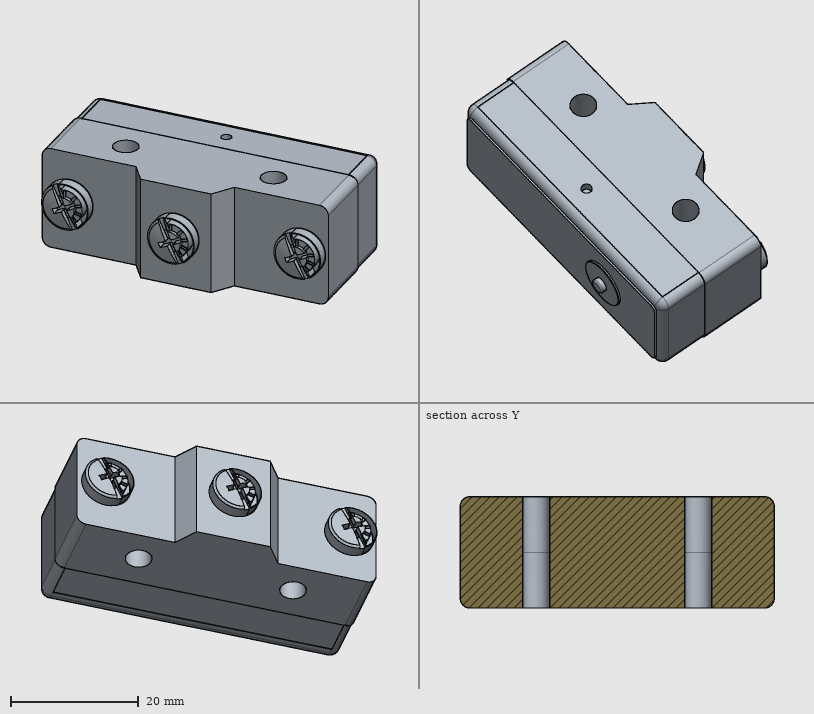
import cadquery as cq
import math


base_length = 49.2
base_height = 17.45
base_depth = 11.25
step = 0.15
cover_length = base_length - 2 * step
cover_height = base_height - 2 * step
cover_depth = 8.75
corner_radius = 1.53

panel_length = cover_length - 2 * corner_radius
panel_thickness = 0.1
top_panel_depth = cover_depth - corner_radius
bottom_panel_depth = 6.25

plate_length = 46.55
plate_height = 14.45
plate_thickness = 0.35
plate_corner_radius = 1.0
plate_back = cover_depth + plate_thickness

boss_root_length = 16.92
boss_tip_length = 12.1
boss_height = 3.55
boss_front = -(base_depth + boss_height)

mount_hole_diameter = 4.2
mount_hole_spacing = 25.4
mount_hole_y = -5.75
pip_diameter = 1.7
pip_depth = 1.5
pip_x = 0.3
pip_y = 3.7

head_diameter = 8.0
rim_height = 1.9
rim_chamfer = 0.4
rim_chamfer_height = 0.3
head_height = 2.65
head_wall = 0.1
slot_width = 1.0
slot_floor = 1.7
slot_angle = 65.0
recess_diameter = 3.8
recess_width = 0.85
recess_depth = 1.5
crown_diameter = 6.0
crown_height = rim_height
rib_reach = 2.95
rib_width = 0.45
rib_height = 0.15
rib_angles = [-50.0, -17.0, 16.0, 49.0, 90.0]
screw_seats = [(-19.85, -base_depth), (0.0, boss_front), (20.1, -base_depth)]

plunger_x = -10.65
collar_diameter = 8.0
collar_height = 0.4
collar_flare = 0.1
plunger_diameter = 2.4
plunger_travel = 1.05
plunger_rounding = 0.3


def block(length, height, y_start, depth, radius):
    """Bar along +Y with a rounded rectangular section."""
    bar = cq.Workplane("XY").box(length, depth, height).edges("|Y").fillet(radius)
    return bar.translate((0, y_start + depth / 2, 0))


def panels():
    """Panels raised on the top and bottom faces of the rear block, both starting at Y = 0."""
    top = cq.Workplane("XY").box(panel_length, top_panel_depth, panel_thickness)
    top = top.translate((0, top_panel_depth / 2, (cover_height + panel_thickness) / 2))
    bottom = cq.Workplane("XY").box(panel_length, bottom_panel_depth, panel_thickness)
    bottom = bottom.translate((0, bottom_panel_depth / 2, -(cover_height + panel_thickness) / 2))
    return top, bottom


def disc(diameter, start, height):
    """Cylinder about Z between two levels."""
    return cq.Workplane("XY").workplane(offset=start).circle(diameter / 2).extrude(height)


def terminal_boss():
    """Trapezoidal block that carries the middle screw."""
    outline = [
        (-boss_root_length / 2, -base_depth),
        (-boss_tip_length / 2, boss_front),
        (boss_tip_length / 2, boss_front),
        (boss_root_length / 2, -base_depth),
    ]
    boss = cq.Workplane("XY").polyline(outline).close().extrude(base_height)
    return boss.translate((0, 0, -base_height / 2))


def domed_head():
    """Screw head about Z: straight rim, chamfer and shallow dome."""
    rim_radius = head_diameter / 2
    dome_radius = rim_radius - rim_chamfer
    dome_start = rim_height + rim_chamfer_height
    dome_rise = head_height - dome_start
    sphere_radius = (dome_radius**2 + dome_rise**2) / (2 * dome_rise)
    middle = dome_radius / 2
    middle_height = head_height - sphere_radius + math.sqrt(sphere_radius**2 - middle**2)
    profile = (
        cq.Workplane("XZ")
        .lineTo(rim_radius, 0)
        .lineTo(rim_radius, rim_height)
        .lineTo(dome_radius, dome_start)
        .threePointArc((middle, middle_height), (0, head_height))
        .close()
    )
    return profile.revolve(360, (0, 0, 0), (0, 1, 0))


def open_side():
    """Hollow beside the slot, down to the seat, around a stepped crown with ribs."""
    island = disc(crown_diameter, 0, crown_height).union(disc(recess_diameter, 0, head_height))
    rib_top = crown_height + rib_height
    rib = cq.Workplane("XY").box(rib_reach, rib_width, rib_top, centered=(False, True, False))
    for angle in rib_angles:
        island = island.union(rib.rotate((0, 0, 0), (0, 0, 1), angle))
    hollow = disc(head_diameter - 2 * head_wall, 0, head_height).cut(island)
    half_size = (head_diameter, 2 * head_diameter, head_height)
    half = cq.Workplane("XY").box(*half_size, centered=(False, True, False))
    half = half.translate((slot_width / 2 + head_wall, 0, 0))
    return hollow.intersect(half.rotate((0, 0, 0), (0, 0, 1), 90 - slot_angle))


def screw_head():
    """Slotted cross-recess head, seat on Z = 0 and dome toward +Z."""
    cut_height = head_height - slot_floor
    slot = cq.Workplane("XY").box(head_diameter, slot_width, cut_height, centered=(True, True, False))
    slot = slot.translate((0, 0, slot_floor))
    arm = cq.Workplane("XY").box(recess_width, recess_diameter, recess_depth, centered=(True, True, False))
    cross = arm.union(arm.rotate((0, 0, 0), (0, 0, 1), 90))
    cross = cross.translate((0, 0, head_height - recess_depth))
    drive = slot.union(cross).rotate((0, 0, 0), (0, 0, 1), -slot_angle)
    return domed_head().cut(open_side()).cut(drive)


def make_case():
    """Both blocks, back plate, collar and terminal screws as one solid."""
    cover = block(cover_length, cover_height, 0, cover_depth, corner_radius)
    cover = cover.faces(">Y").edges().fillet(corner_radius)
    case = block(base_length, base_height, -base_depth, base_depth, corner_radius)
    case = case.union(cover)
    for panel in panels():
        case = case.union(panel)
    case = case.union(block(plate_length, plate_height, 0, plate_back, plate_corner_radius))
    case = case.union(terminal_boss())

    mount_points = [(side * mount_hole_spacing / 2, mount_hole_y) for side in (-1, 1)]
    mount_holes = cq.Workplane("XY").pushPoints(mount_points).circle(mount_hole_diameter / 2)
    case = case.cut(mount_holes.extrude(base_height / 2, both=True))

    panel_top = cover_height / 2 + panel_thickness
    pip = disc(pip_diameter, panel_top - pip_depth, pip_depth)
    case = case.cut(pip.translate((pip_x, pip_y, 0)))

    head = screw_head().rotate((0, 0, 0), (1, 0, 0), 90)
    for x, y in screw_seats:
        case = case.union(head.translate((x, y, 0)))

    collar = disc(collar_diameter + 2 * collar_flare, 0, collar_height).faces(">Z").chamfer(collar_flare)
    collar = collar.cut(disc(plunger_diameter, 0, collar_height))
    return case.union(on_plate(collar))


def make_plunger():
    """Round push pin that stands on the plate inside the collar."""
    pin = disc(plunger_diameter, 0, collar_height + plunger_travel)
    return on_plate(pin.faces(">Z").edges().fillet(plunger_rounding))


def on_plate(shape):
    """Turn a shape from +Z to +Y and set it on the plate at the plunger axis."""
    return shape.rotate((0, 0, 0), (1, 0, 0), -90).translate((plunger_x, plate_back, 0))


case = make_case()
plunger = make_plunger()
result = cq.Compound.makeCompound([case.solids().val(), plunger.solids().val()])